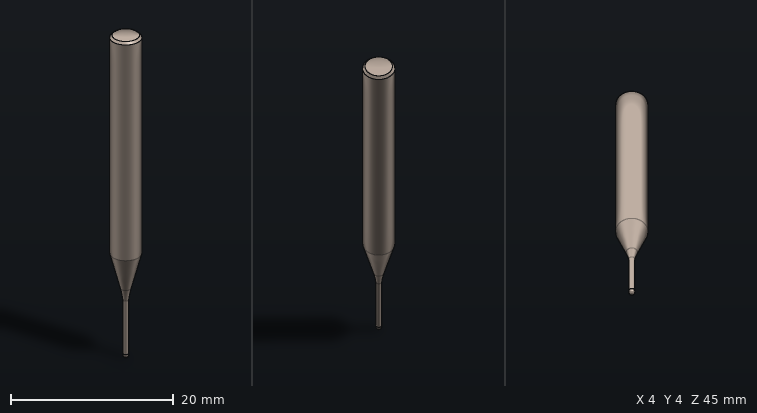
import cadquery as cq
import math

total_length = 45.0
shank_radius = 4.0 / 2
shank_chamfer = 0.3
taper_top_z = 14.6
taper_bottom_z = 9.7
taper_angle = math.radians(15)
neck_top_z = 8.1
neck_radius = 0.395
ball_radius = 0.4
head_length = 0.65

taper_bottom_radius = shank_radius - (taper_top_z - taper_bottom_z) * math.tan(taper_angle)


def revolve_about_z(profile):
    """Turn a closed half profile in the XZ plane about the Z axis."""
    return profile.revolve(360, (0, 0, 0), (0, 1, 0))


def make_shank():
    """Chamfered shank, taper and slender neck, ending at the cutting head."""
    profile = (
        cq.Workplane("XZ")
        .moveTo(0, total_length)
        .lineTo(shank_radius - shank_chamfer, total_length)
        .lineTo(shank_radius, total_length - shank_chamfer)
        .lineTo(shank_radius, taper_top_z)
        .lineTo(taper_bottom_radius, taper_bottom_z)
        .tangentArcPoint((neck_radius, neck_top_z), relative=False)
        .lineTo(neck_radius, head_length)
        .lineTo(0, head_length)
        .close()
    )
    return revolve_about_z(profile)


def make_cutting_head():
    """Short cylinder with a hemispherical tip at the origin."""
    arc_offset = ball_radius * math.sin(math.pi / 4)
    profile = (
        cq.Workplane("XZ")
        .threePointArc((arc_offset, ball_radius - arc_offset), (ball_radius, ball_radius))
        .lineTo(ball_radius, head_length)
        .lineTo(0, head_length)
        .close()
    )
    return revolve_about_z(profile)


shank = make_shank()
cutting_head = make_cutting_head()

result = cq.Compound.makeCompound([shank.val(), cutting_head.val()])